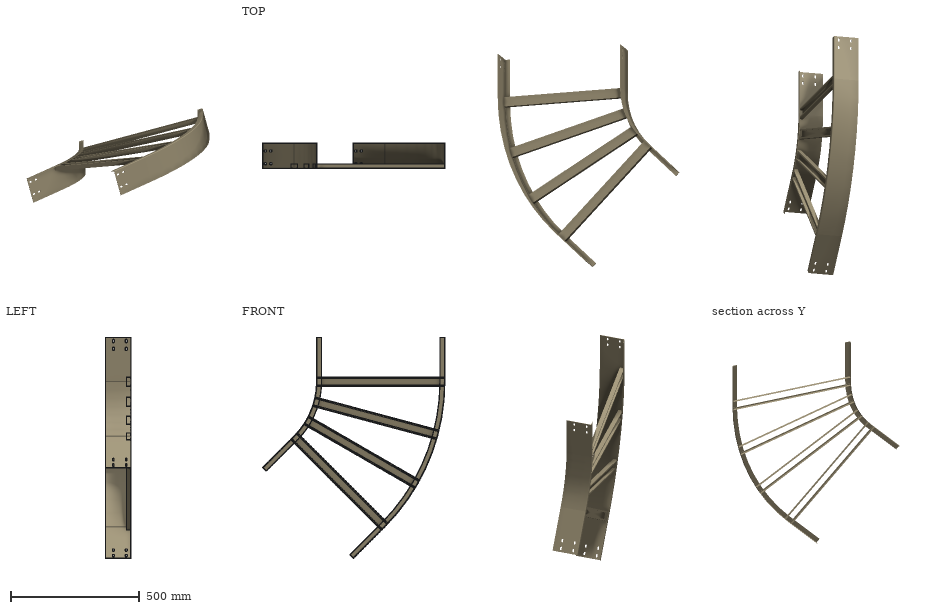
import cadquery as cq
import math


bend_angle = 45.0
inner_radius = 300.0
outer_radius = 800.0
total_height = 861.0
rail_depth = 100.0
flange_width = 20.0
sheet = 1.5
bend_fold_radius = 3.0

bend = math.radians(bend_angle)
leg_length = (total_height - outer_radius * math.sin(bend)) / (1 + math.cos(bend))

slot_length = 13.0
slot_width = 6.5
slot_end_distances = (15.0, 45.0)
slot_depths = (19.0, 69.0)

rung_count = 4
rung_height = 38.0
rung_depth = 17.0
rung_lip = 6.0


def rail_profile(radius, inward):
    """L-section whose web back face is at x = radius; the flange points along inward (+1 or -1)."""
    def across(distance):
        return radius + inward * distance

    fold_inside = bend_fold_radius - sheet
    rise = 1 - math.sqrt(0.5)
    outside_mid = bend_fold_radius * rise
    inside_mid = sheet + fold_inside * rise
    return (
        cq.Workplane("XY")
        .moveTo(across(0), rail_depth)
        .lineTo(across(0), bend_fold_radius)
        .threePointArc((across(outside_mid), outside_mid), (across(bend_fold_radius), 0))
        .lineTo(across(flange_width), 0)
        .lineTo(across(flange_width), sheet)
        .lineTo(across(bend_fold_radius), sheet)
        .threePointArc((across(inside_mid), inside_mid), (across(sheet), bend_fold_radius))
        .lineTo(across(sheet), rail_depth)
        .close()
    )


def turn(shape, angle):
    """Turn a shape around the bend axis, downwards from the upper leg."""
    return shape.rotate((0, 0, 0), (0, 1, 0), angle)


def slotted_leg(radius, inward, direction):
    """Straight leg running along Z (direction +1 up, -1 down) with slots near its free end."""
    leg = rail_profile(radius, inward).extrude(direction * leg_length)
    centers = [
        (depth, direction * (leg_length - distance))
        for depth in slot_depths
        for distance in slot_end_distances
    ]
    slots = (
        cq.Workplane("YZ", origin=(radius, 0, 0))
        .pushPoints(centers)
        .slot2D(slot_length, slot_width, 90)
        .extrude(2 * sheet, both=True)
    )
    return leg.cut(slots)


def side_rail(radius, inward):
    """Upper leg, bend and lower leg of one rail."""
    upper_leg = slotted_leg(radius, inward, 1)
    curve = rail_profile(radius, inward).revolve(bend_angle, (0, 0, 0), (0, 1, 0))
    lower_leg = turn(slotted_leg(radius, inward, -1), bend_angle)
    return upper_leg.union(curve).union(lower_leg)


def rung():
    """Lipped C-channel lying on the rail flanges, open to the front, ending inside both webs."""
    start = inner_radius + sheet / 2
    length = outer_radius - inner_radius - sheet
    front = sheet
    channel_origin = (start, front, 0)
    body = (
        cq.Workplane("YZ", origin=channel_origin)
        .rect(rung_depth, rung_height)
        .extrude(length)
        .translate((0, rung_depth / 2, 0))
    )
    cavity = (
        cq.Workplane("YZ", origin=channel_origin)
        .rect(rung_depth - 2 * sheet, rung_height - 2 * sheet)
        .extrude(length)
        .translate((0, rung_depth / 2, 0))
    )
    mouth = (
        cq.Workplane("YZ", origin=channel_origin)
        .rect(2 * sheet, rung_height - 2 * rung_lip)
        .extrude(length)
    )
    return body.cut(cavity).cut(mouth)


result = side_rail(inner_radius, 1).union(side_rail(outer_radius, -1))
for index in range(rung_count):
    result = result.union(turn(rung(), index * bend_angle / (rung_count - 1)))